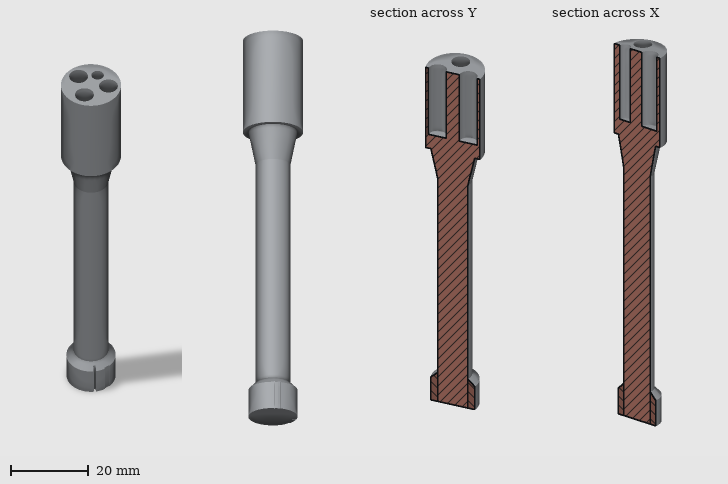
import cadquery as cq
import math

total_length = 103.0
grip_diameter = 15.5
grip_length = 25.0
neck_top_diameter = 12.6
neck_length = 9.0
shaft_diameter = 9.0
grip_bottom = total_length - grip_length
neck_bottom = grip_bottom - neck_length

socket_depth = 20.6
large_socket_diameter = 4.8
small_socket_diameter = 3.2
side_socket_x = 4.2
side_socket_y = 1.5
center_socket_y = 4.0
large_socket_centers = [
    (-side_socket_x, side_socket_y),
    (0, -center_socket_y),
    (side_socket_x, side_socket_y),
]
small_socket_center = (0, center_socket_y)

collar_diameter = 12.7
collar_height = 9.1
collar_rim_height = 7.2

collar_grooves = [
    (195, 0.3, 0.4),
    (206.5, 0.8, 0.15),
    (304, 0.6, 1.0),
    (336, 1.5, 0.15),
]


def revolve_profile(points):
    """Revolve a closed (radius, height) outline about the Z axis."""
    return cq.Workplane("XZ").polyline(points).close().revolve(360, (0, 0, 0), (0, 1, 0))


def make_sockets(centers, diameter):
    """Cylinders reaching down from the top face of the grip."""
    top_plane = cq.Workplane("XY").workplane(offset=total_length)
    return top_plane.pushPoints(centers).circle(diameter / 2).extrude(-socket_depth)


def make_handle():
    """Grip, neck and shaft in one piece, with the sockets cut into the grip."""
    handle = revolve_profile([
        (0, 0),
        (shaft_diameter / 2, 0),
        (shaft_diameter / 2, neck_bottom),
        (neck_top_diameter / 2, grip_bottom),
        (grip_diameter / 2, grip_bottom),
        (grip_diameter / 2, total_length),
        (0, total_length),
    ])
    handle = handle.cut(make_sockets(large_socket_centers, large_socket_diameter))
    return handle.cut(make_sockets([small_socket_center], small_socket_diameter))


def make_groove(angle, width, depth):
    """Full-height radial cutter that enters the collar wall by the given depth."""
    collar_radius = collar_diameter / 2
    mouth_radius = math.sqrt(collar_radius**2 - (width / 2) ** 2)
    floor_radius = mouth_radius - depth
    cutter = cq.Workplane("XY").box(collar_radius, width, collar_height, centered=(False, True, False))
    return cutter.translate((floor_radius, 0, 0)).rotate((0, 0, 0), (0, 0, 1), angle)


def make_collar():
    """Ring with a conical top, bored to fit the shaft and grooved outside."""
    collar = revolve_profile([
        (shaft_diameter / 2, 0),
        (collar_diameter / 2, 0),
        (collar_diameter / 2, collar_rim_height),
        (shaft_diameter / 2, collar_height),
    ])
    for angle, width, depth in collar_grooves:
        collar = collar.cut(make_groove(angle, width, depth))
    return collar


handle = make_handle()
collar = make_collar()

result = cq.Compound.makeCompound([handle.val(), collar.val()])